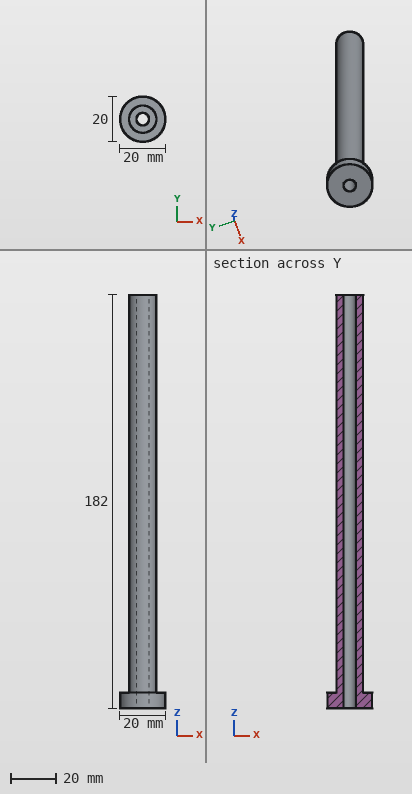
import cadquery as cq

length = 182.0
head_diameter = 20.0
head_height = 7.0
shaft_diameter = 12.0
bore_diameter = 5.5
neck_fillet = 0.5

head = cq.Workplane("XY").circle(head_diameter / 2).extrude(head_height)

shaft = cq.Workplane("XY").circle(shaft_diameter / 2).extrude(length)

body = head.union(shaft)
neck_edge = cq.selectors.RadiusNthSelector(0)
body = body.faces("<Z[1]").edges(neck_edge).fillet(neck_fillet)

bore = cq.Workplane("XY").circle(bore_diameter / 2).extrude(length)

result = body.cut(bore)